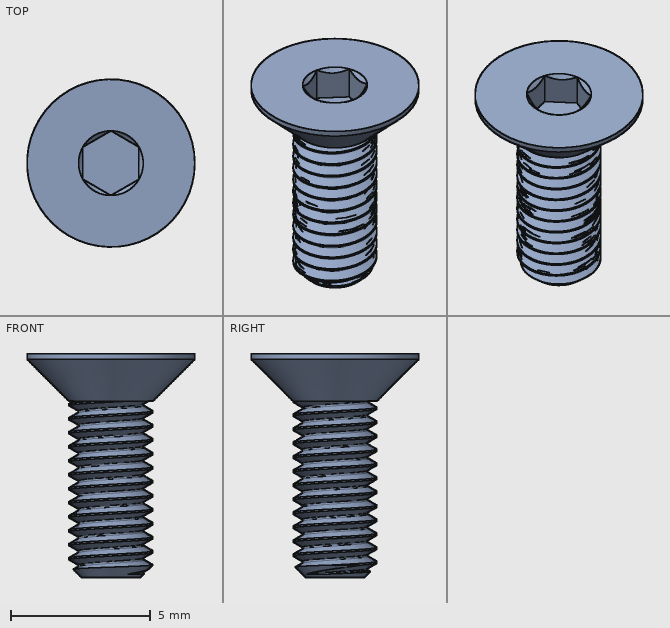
import cadquery as cq
import math

screw_length = 8.0
thread_radius = 1.5
pitch = 0.5

head_radius = 3.0
head_rim_height = 0.2
head_height = head_rim_height + head_radius - thread_radius
shank_length = screw_length - head_height

socket_across_flats = 2.0
socket_corner_radius = socket_across_flats / math.sqrt(3)
socket_depth = 1.2

flank_angle = math.radians(30)
crest_width = pitch / 8
root_width = pitch / 8
thread_depth = (pitch - crest_width - root_width) / 2 / math.tan(flank_angle)
root_radius = thread_radius - thread_depth
flank_curve_points = 20

tip_radius = 1.05


def make_head():
    """Countersunk head with a hexagon socket whose corners lie on the Y axis."""
    head = (
        cq.Workplane("XZ")
        .moveTo(0, 0)
        .lineTo(head_radius, 0)
        .lineTo(head_radius, -head_rim_height)
        .lineTo(thread_radius, -head_height)
        .lineTo(0, -head_height)
        .close()
        .revolve(360, (0, 0, 0), (0, 1, 0))
    )
    hexagon = (
        cq.Workplane("XY")
        .polygon(6, 2 * socket_corner_radius)
        .extrude(-socket_depth)
        .rotate((0, 0, 0), (0, 0, 1), 30)
    )
    flat_distance = socket_across_flats / 2
    lead_in = cq.Workplane(
        cq.Solid.makeCone(
            socket_corner_radius,
            flat_distance,
            socket_corner_radius - flat_distance,
            dir=cq.Vector(0, 0, -1),
        )
    )
    return head.cut(hexagon).cut(lead_in)


def thread_cross_section():
    """Horizontal slice of the thread, with the middle of the crest on +X.

    Each part of the thread covers an angle in the slice in proportion to its height along
    the pitch: a crest arc and a root arc, joined by two spirals that form the flanks.
    """
    crest_half_angle = math.pi * crest_width / pitch
    flank_sweep = math.pi - crest_half_angle - math.pi * root_width / pitch

    def flank_point(drop, side):
        """Point on a flank; drop runs from 0 at the crest to 1 at the root, side is 1 or -1."""
        radius = thread_radius - drop * thread_depth
        angle = side * (crest_half_angle + drop * flank_sweep)
        return radius * math.cos(angle), radius * math.sin(angle)

    return (
        cq.Workplane("XY", origin=(0, 0, -screw_length))
        .parametricCurve(lambda t: flank_point(1 - t, -1), N=flank_curve_points, makeWire=False)
        .moveTo(*flank_point(0, -1))
        .threePointArc((thread_radius, 0), flank_point(0, 1))
        .parametricCurve(lambda t: flank_point(t, 1), N=flank_curve_points, makeWire=False)
        .moveTo(*flank_point(1, 1))
        .threePointArc((-root_radius, 0), flank_point(1, -1))
        .wire()
    )


def make_threaded_shank():
    twist = 360 * shank_length / pitch
    start_angle = -90 - twist
    rod = (
        thread_cross_section()
        .twistExtrude(shank_length, twist)
        .rotate((0, 0, 0), (0, 0, 1), start_angle)
    )
    tip_envelope = (
        cq.Workplane("XZ")
        .moveTo(0, -screw_length)
        .lineTo(tip_radius, -screw_length)
        .lineTo(tip_radius + shank_length, -head_height)
        .lineTo(0, -head_height)
        .close()
        .revolve(360, (0, 0, 0), (0, 1, 0))
    )
    return rod.intersect(tip_envelope)


head = make_head()
threaded_shank = make_threaded_shank()
result = cq.Compound.makeCompound([head.val(), *threaded_shank.solids().vals()])